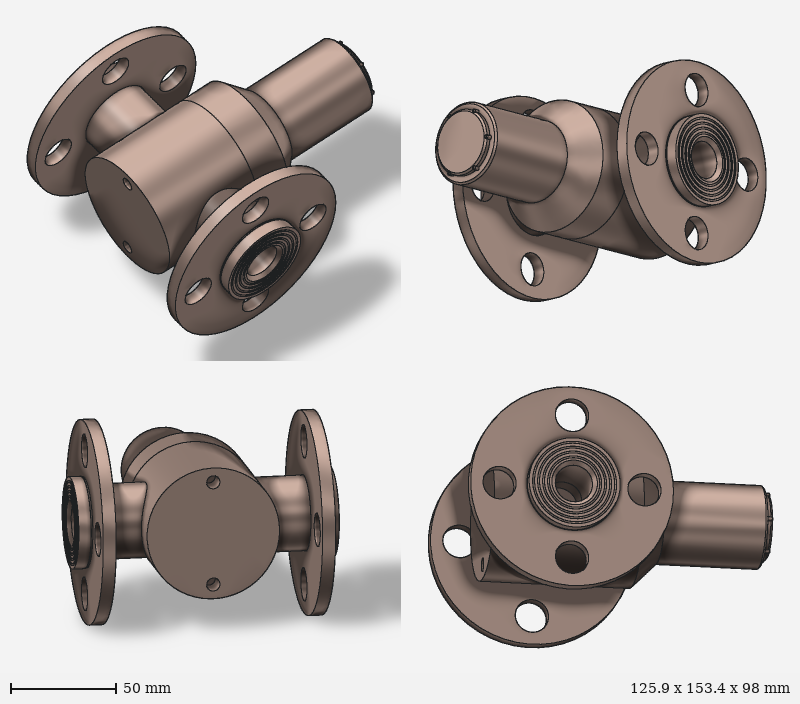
import cadquery as cq
import math

body_dia = 64.0
housing_front_y = -33.0
housing_back_y = 21.0
port_floor_x = 20.0
screw_hole_dia = 6.35
screw_hole_depth = 12.0
screw_hole_offset = 25.0

neck_dia = 40.0
taper_start_y = 39.4
taper_end_y = taper_start_y + (body_dia - neck_dia) / 2
neck_end_y = 101.4
neck_chamfer = 1.0

cap_dia = 32.0
cap_height = 3.0
cap_chamfer = 1.0
lobe_count = 6
lobe_dia = 2.0
lobe_chamfer = 0.5

end_x = 62.95
pipe_dia = 36.0
collar_dia = 44.0
collar_width = 6.0
shoulder_dia = 43.5
shoulder_width = 0.8
bore_dia = 18.0
bore_mouth_dia = 22.0
bore_mouth_depth = (bore_mouth_dia - bore_dia) / 2

groove_count = 4
groove_inner_dia = 24.35
groove_width = 0.9
groove_pitch = 2.4
groove_depth = 0.2

flange_dia = 98.0
flange_width = 6.3
flange_bore_dia = 36.5
bolt_count = 4
bolt_hole_dia = 16.0
bolt_circle_dia = 70.0

shoulder_x = end_x - collar_width
flange_outer_x = shoulder_x - shoulder_width
flange_inner_x = flange_outer_x - flange_width


def x_cylinder(diameter, start_x, stop_x):
    """Solid cylinder on the X axis."""
    return cq.Workplane("YZ", origin=(start_x, 0, 0)).circle(diameter / 2).extrude(stop_x - start_x)


def y_cylinder(diameter, start_y, stop_y, x=0.0, z=0.0):
    """Solid cylinder parallel to the Y axis, through the given X and Z."""
    base = cq.Workplane("XZ", origin=(x, start_y, z))
    return base.circle(diameter / 2).extrude(start_y - stop_y)


def mirror_to_left(part):
    return part.mirror("YZ")


def make_housing():
    housing = y_cylinder(body_dia, housing_front_y, housing_back_y)
    port = x_cylinder(bore_dia, port_floor_x, body_dia / 2)
    housing = housing.cut(port).cut(mirror_to_left(port))
    for z in (-screw_hole_offset, screw_hole_offset):
        hole = y_cylinder(screw_hole_dia, housing_front_y, housing_front_y + screw_hole_depth, z=z)
        housing = housing.cut(hole)
    return housing


def make_bonnet():
    profile = (
        cq.Workplane("XY")
        .moveTo(0, housing_back_y)
        .lineTo(body_dia / 2, housing_back_y)
        .lineTo(body_dia / 2, taper_start_y)
        .lineTo(neck_dia / 2, taper_end_y)
        .lineTo(neck_dia / 2, neck_end_y - neck_chamfer)
        .lineTo(neck_dia / 2 - neck_chamfer, neck_end_y)
        .lineTo(0, neck_end_y)
        .close()
    )
    return profile.revolve(360, (0, 0, 0), (0, 1, 0))


def make_cap():
    cap_end_y = neck_end_y + cap_height
    cap = y_cylinder(cap_dia, neck_end_y, cap_end_y).faces(">Y").chamfer(cap_chamfer)
    for i in range(lobe_count):
        angle = 2 * math.pi * i / lobe_count
        x = cap_dia / 2 * math.cos(angle)
        z = cap_dia / 2 * math.sin(angle)
        lobe = y_cylinder(lobe_dia, neck_end_y, cap_end_y, x, z)
        cap = cap.union(lobe.faces(">Y").chamfer(lobe_chamfer))
    return cap


def make_stub():
    """Pipe stub on the +X side, its inner end shaped to fit the round housing."""
    stub = (
        x_cylinder(pipe_dia, 0, shoulder_x)
        .union(x_cylinder(shoulder_dia, flange_outer_x, shoulder_x))
        .union(x_cylinder(collar_dia, shoulder_x, end_x))
        .cut(x_cylinder(bore_dia, 0, end_x))
        .cut(y_cylinder(body_dia, housing_front_y, housing_back_y))
    )
    stub = stub.faces(">X").edges(cq.selectors.RadiusNthSelector(0)).chamfer(bore_mouth_depth)
    for i in range(groove_count):
        inner_radius = groove_inner_dia / 2 + i * groove_pitch
        groove = (
            cq.Workplane("YZ", origin=(end_x, 0, 0))
            .circle(inner_radius + groove_width)
            .circle(inner_radius)
            .extrude(-groove_depth)
        )
        stub = stub.cut(groove)
    return stub


def make_flange():
    """Loose flange on the +X side."""
    bolt_holes = (
        cq.Workplane("YZ", origin=(flange_inner_x, 0, 0))
        .polarArray(bolt_circle_dia / 2, 0, 360, bolt_count)
        .circle(bolt_hole_dia / 2)
        .extrude(flange_width)
    )
    flange = x_cylinder(flange_dia, flange_inner_x, flange_outer_x)
    bore = x_cylinder(flange_bore_dia, flange_inner_x, flange_outer_x)
    return flange.cut(bore).cut(bolt_holes)


housing = make_housing()
bonnet = make_bonnet()
cap = make_cap()

stub = make_stub()
flange = make_flange()

parts = [housing, bonnet, cap]
for right_part in (stub, flange):
    parts.append(right_part)
    parts.append(mirror_to_left(right_part))

result = cq.Compound.makeCompound([part.solids().val() for part in parts])